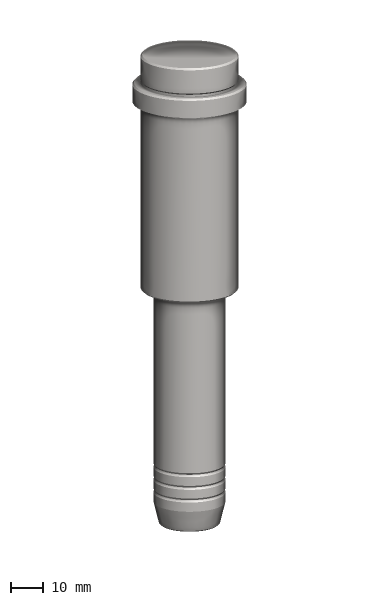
import cadquery as cq

total_length = 150.0
collar_diameter = 35.0
body_diameter = 30.0
stem_diameter = 22.0
tip_diameter = 18.6

head_height = 9.0
collar_height = 6.0
body_height = 60.0
tip_height = 7.0

edge_chamfer = 0.52
tip_chamfer = 0.5
relief_width = 1.0
relief_depth = 0.5
stem_groove_width = 1.28
stem_groove_depth = 0.5
first_groove_height = 10.6
stem_groove_pitch = 4.0
stem_groove_count = 3

bottom_z = -total_length / 2
top_z = total_length / 2
collar_top_z = top_z - head_height
collar_bottom_z = collar_top_z - collar_height
body_bottom_z = collar_bottom_z - body_height


def cylinder(diameter, low_z, high_z):
    return cq.Workplane("XY").workplane(offset=low_z).circle(diameter / 2).extrude(high_z - low_z)


def groove(diameter, low_z, width, depth):
    """Ring that cuts a V-shaped groove into a cylinder of the given diameter."""
    outer_radius = diameter / 2
    high_z = low_z + width
    return (
        cq.Workplane("XZ")
        .moveTo(outer_radius, low_z)
        .lineTo(outer_radius - depth, low_z + width / 2)
        .lineTo(outer_radius, high_z)
        .close()
        .revolve(360, (0, 0, 0), (0, 1, 0))
    )


head = cylinder(body_diameter, collar_top_z, top_z).faces(">Z").chamfer(edge_chamfer)
collar = cylinder(collar_diameter, collar_bottom_z, collar_top_z).faces(">Z").chamfer(edge_chamfer)
body = cylinder(body_diameter, body_bottom_z, collar_bottom_z).faces("<Z").chamfer(edge_chamfer)

tip = (
    cq.Workplane("XY").workplane(offset=bottom_z).circle(tip_diameter / 2)
    .workplane(offset=tip_height).circle(stem_diameter / 2).loft(ruled=True)
    .faces("<Z").chamfer(tip_chamfer)
)
stem = cylinder(stem_diameter, bottom_z + tip_height, body_bottom_z)

head = head.cut(groove(body_diameter, collar_top_z, relief_width, relief_depth))
body = body.cut(groove(body_diameter, collar_bottom_z - relief_width, relief_width, relief_depth))
stem = stem.cut(groove(stem_diameter, body_bottom_z - relief_width, relief_width, relief_depth))

for index in range(stem_groove_count):
    centre_z = bottom_z + first_groove_height + index * stem_groove_pitch
    low_z = centre_z - stem_groove_width / 2
    stem = stem.cut(groove(stem_diameter, low_z, stem_groove_width, stem_groove_depth))

result = head.union(collar).union(body).union(stem).union(tip)